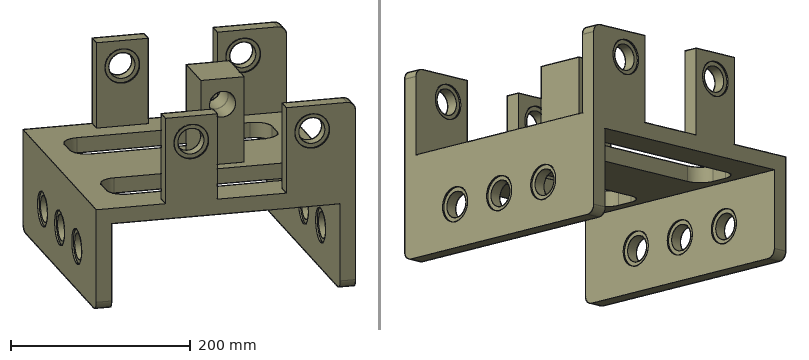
import cadquery as cq

side = 300.0
height = 218.0
half_side = side / 2

wall = 18.0
post_height = 100.0
deck_top = height - post_height
leg_height = deck_top - wall
corner_radius = 10.0

slot_width = 60.0
slot_length = 240.0
slot_radius = 20.0
slot_offset = 75.0

bore_diameter = 30.0
recess_diameter = 40.0
recess_depth = 2.0
hole_pitch = 70.0
leg_hole_height = leg_height / 2
post_hole_drop = 30.0

post_hole_height = height - post_hole_drop
middle_hole_y = 30.0
rear_hole_y = middle_hole_y + hole_pitch
front_hole_y = middle_hole_y - hole_pitch
block_width = 60.0
block_length = 50.0
front_plate_length = 60.0
rear_plate_length = 80.0


def box_at(size_x, size_y, size_z, center_x, center_y, bottom_z):
    """Box centred on a point in plan, standing on the given height."""
    box = cq.Workplane("XY").box(size_x, size_y, size_z, centered=(True, True, False))
    return box.translate((center_x, center_y, bottom_z))


def recessed_hole(length):
    """Cutter along +Z for a wall of this thickness: a bore with a shallow recess at both faces."""
    bore = cq.Workplane("XY").circle(bore_diameter / 2).extrude(length)
    recess = cq.Workplane("XY").circle(recess_diameter / 2).extrude(recess_depth)
    return bore.union(recess).union(recess.translate((0, 0, length - recess_depth)))


def make_leg(center_y):
    """Leg with rounded lower corners, running the full width."""
    leg = box_at(side, wall, leg_height, 0, center_y, 0)
    return leg.edges("|Y and <Z").fillet(corner_radius)


def make_side_plates(center_x):
    """Front and rear plates on one side of the deck; the rear one has a rounded top corner."""
    front = box_at(wall, front_plate_length, post_height, center_x, front_hole_y, deck_top)
    rear_center_y = half_side - rear_plate_length / 2
    rear = box_at(wall, rear_plate_length, post_height, center_x, rear_center_y, deck_top)
    rear = rear.edges("|X and >Y and >Z").fillet(corner_radius)
    return front.union(rear)


deck = box_at(side, side, wall, 0, 0, leg_height)
slot = box_at(slot_width, slot_length, wall, 0, 0, leg_height).edges("|Z").fillet(slot_radius)
for slot_x in (-slot_offset, slot_offset):
    deck = deck.cut(slot.translate((slot_x, 0, 0)))

wall_offset = half_side - wall / 2
body = deck
for wall_center in (-wall_offset, wall_offset):
    body = body.union(make_leg(wall_center))
    body = body.union(make_side_plates(wall_center))
body = body.union(box_at(block_width, block_length, post_height, 0, middle_hole_y, deck_top))

hole_along_x = recessed_hole(wall).rotate((0, 0, 0), (0, 1, 0), 90)
hole_along_y = recessed_hole(wall).rotate((0, 0, 0), (1, 0, 0), -90)
for wall_start in (-half_side, half_side - wall):
    for hole_x in (-hole_pitch, 0, hole_pitch):
        body = body.cut(hole_along_y.translate((hole_x, wall_start, leg_hole_height)))
    for hole_y in (rear_hole_y, front_hole_y):
        body = body.cut(hole_along_x.translate((wall_start, hole_y, post_hole_height)))

block_bore = cq.Workplane("YZ").center(middle_hole_y, post_hole_height)
block_bore = block_bore.circle(bore_diameter / 2).extrude(block_width / 2, both=True)
result = body.cut(block_bore)